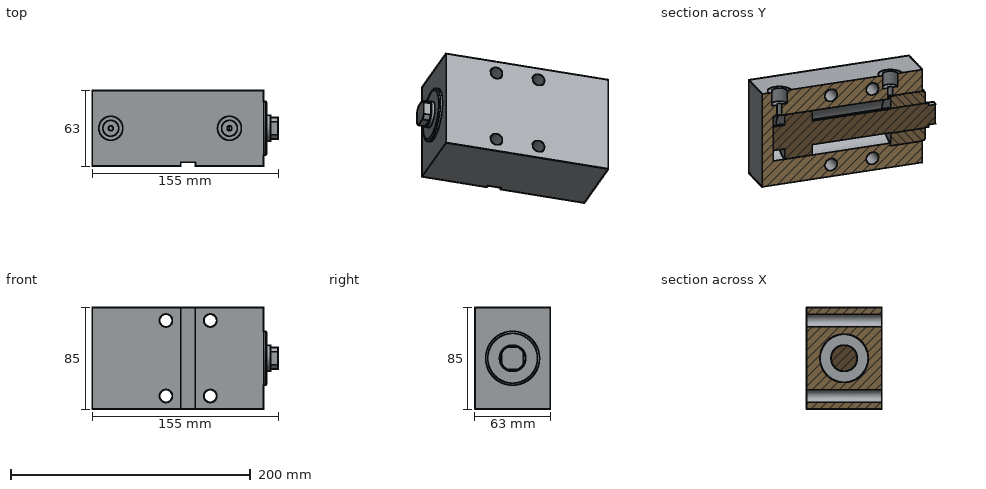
import cadquery as cq


BLOCK_LENGTH = 143.0
BLOCK_WIDTH = 63.0
BLOCK_HEIGHT = 85.0
EDGE_CHAMFER = 0.3

SLOT_CENTRE_X = 80.0
SLOT_WIDTH = 12.0
SLOT_DEPTH = 3.0

MOUNT_HOLE_DIAMETER = 10.5
MOUNT_SPACING_X = 37.0
MOUNT_SPACING_Z = 63.0

PORT_REAR_X = 15.5
PORT_FRONT_X = 114.5
SPOT_FACE_DIAMETER = 20.0
SPOT_FACE_DEPTH = 0.1
PORT_DIAMETER = 13.2
PORT_DEPTH = 12.0
OIL_HOLE_DIAMETER = 4.0

BORE_DIAMETER = 40.0
BORE_START_X = 10.0

GLAND_DIAMETER = 45.0
GLAND_PROJECTION = 2.8
GLAND_CHAMFER_AXIAL = 1.0
GLAND_CHAMFER_RADIAL = 1.75
GLAND_START_X = PORT_FRONT_X
GLAND_END_X = BLOCK_LENGTH + GLAND_PROJECTION

ROD_DIAMETER = 22.0
ROD_SHOULDER_PROJECTION = 6.0
ROD_SHOULDER_X = BLOCK_LENGTH + ROD_SHOULDER_PROJECTION
ROD_CHAMFER = 0.5
PISTON_START_X = 20.0
PISTON_LENGTH = 25.0
HEAD_DIAMETER = 21.0
HEAD_ACROSS_FLATS = 18.0
HEAD_LENGTH = 6.0
HEAD_CHAMFER = 0.3


def cylinder_x(diameter, start_x, end_x):
    """Cylinder about the X axis between two X positions."""
    return cq.Workplane("YZ").workplane(offset=start_x).circle(diameter / 2).extrude(end_x - start_x)


def port_cutter(port_x):
    """Spot face, threaded-port bore and oil hole, running from the top face down to the axis."""
    top = cq.Workplane("XY").workplane(offset=BLOCK_HEIGHT / 2).center(port_x, 0)
    spot_face = top.circle(SPOT_FACE_DIAMETER / 2).extrude(-SPOT_FACE_DEPTH)
    port = top.circle(PORT_DIAMETER / 2).extrude(-PORT_DEPTH)
    oil_hole = top.circle(OIL_HOLE_DIAMETER / 2).extrude(-BLOCK_HEIGHT / 2)
    return spot_face.union(port).union(oil_hole)


def make_block():
    """Block with key slot, mounting holes, ports and the stepped cylinder bore."""
    block = (
        cq.Workplane("XY")
        .box(BLOCK_LENGTH, BLOCK_WIDTH, BLOCK_HEIGHT)
        .translate((BLOCK_LENGTH / 2, 0, 0))
        .edges("|X")
        .chamfer(EDGE_CHAMFER)
    )

    slot = (
        cq.Workplane("XY")
        .box(SLOT_WIDTH, 2 * SLOT_DEPTH, BLOCK_HEIGHT)
        .translate((SLOT_CENTRE_X, -BLOCK_WIDTH / 2, 0))
    )
    block = block.cut(slot)

    mount_holes = (
        cq.Workplane("XZ")
        .center(SLOT_CENTRE_X, 0)
        .rarray(MOUNT_SPACING_X, MOUNT_SPACING_Z, 2, 2)
        .circle(MOUNT_HOLE_DIAMETER / 2)
        .extrude(BLOCK_WIDTH / 2, both=True)
    )
    block = block.cut(mount_holes)

    for port_x in (PORT_REAR_X, PORT_FRONT_X):
        block = block.cut(port_cutter(port_x))

    block = block.cut(cylinder_x(BORE_DIAMETER, BORE_START_X, BLOCK_LENGTH))
    return block.cut(cylinder_x(GLAND_DIAMETER, GLAND_START_X, BLOCK_LENGTH))


def make_gland():
    """Bushing that closes the bore and guides the rod."""
    gland = cylinder_x(GLAND_DIAMETER, GLAND_START_X, GLAND_END_X)
    gland = gland.faces(">X").edges().chamfer(GLAND_CHAMFER_AXIAL, GLAND_CHAMFER_RADIAL)
    return gland.cut(cylinder_x(ROD_DIAMETER, GLAND_START_X, GLAND_END_X))


def make_piston_rod():
    """Rod with its piston, and a wrench head with four flats at the outer end."""
    rod = cylinder_x(ROD_DIAMETER, BORE_START_X, ROD_SHOULDER_X)
    rod = rod.faces(">X").edges().chamfer(ROD_CHAMFER)
    piston = cylinder_x(BORE_DIAMETER, PISTON_START_X, PISTON_START_X + PISTON_LENGTH)

    head = cylinder_x(HEAD_DIAMETER, ROD_SHOULDER_X, ROD_SHOULDER_X + HEAD_LENGTH)
    head = head.faces(">X").edges().chamfer(HEAD_CHAMFER)
    flats = (
        cq.Workplane("YZ")
        .workplane(offset=ROD_SHOULDER_X)
        .rect(HEAD_ACROSS_FLATS, HEAD_ACROSS_FLATS)
        .extrude(HEAD_LENGTH)
    )
    return rod.union(piston).union(head.intersect(flats))


block = make_block()
gland = make_gland()
piston_rod = make_piston_rod()

result = cq.Compound.makeCompound([body.solids().val() for body in (block, gland, piston_rod)])